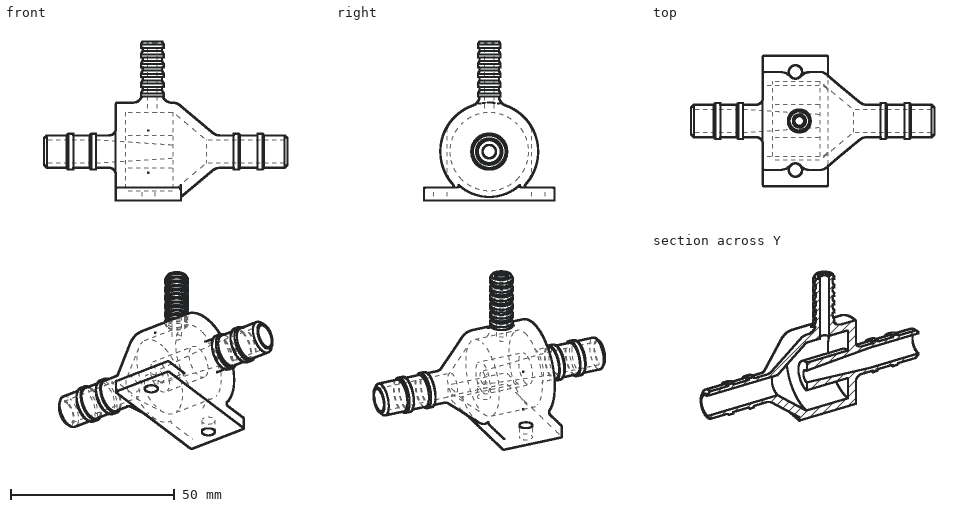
import cadquery as cq
import math

LENGTH = 74.6
AXIS_Z = 15.0
TOTAL_HEIGHT = 48.7

TUBE_R = 10.0 / 2
TUBE_BARB_R = 11.0 / 2
TUBE_BARB_LENGTH = 2.0
TUBE_BARB_RAMP = TUBE_BARB_R - TUBE_R
TUBE_TIP_CHAMFER = 1.0
INLET_BARBS = (7.0, 14.0)
OUTLET_BARBS = (7.2, 14.55)
TUBE_BORE_R = 7.0 / 2
INLET_FILLET = 2.0

BODY_R = 30.0 / 2
BODY_X = 22.0
CONE_START_X = 40.65
CONE_LENGTH = 11.9
CONE_END_X = CONE_START_X + CONE_LENGTH
CONE_FILLET = 3.0
EDGE_FILLET = 0.5

CHAMBER_R = 24.0 / 2
WALL = BODY_R - CHAMBER_R

NOZZLE_END_R = 4.0 / 2
NOZZLE_END_X = 39.45
TAPER_LENGTH = 22.4

BASE_LENGTH = 20.0
BASE_WIDTH = 40.0
BASE_HEIGHT = 4.0
HOLE_R = 4.0 / 2
HOLE_Y = 15.0
HOLE_X = BODY_X + BASE_LENGTH / 2
HOLE_EDGE_FILLET = 3.95

PORT_X = 33.2
PORT_NECK_R = 6.0 / 2
PORT_BARB_R = 7.0 / 2
PORT_BORE_R = 3.0 / 2
PORT_BORE_CHAMFER = 0.5
PORT_FILLET = 3.0
PORT_BARB_COUNT = 6
PORT_BARB_PITCH = 3.0
PORT_BARB_STEP = PORT_BARB_PITCH / 3

TOLERANCE = 0.01


def revolve_about_flow_axis(points):
    """Turn an (x, radius) outline, closed along the axis, around the flow axis."""
    plane = cq.Workplane("XZ", origin=(0, 0, AXIS_Z))
    return plane.polyline(points).close().revolve(360, (0, 0, 0), (1, 0, 0))


def edges_within(solid, x_range, y_range, z_range):
    """Edges lying wholly inside an axis-aligned box."""
    low = [limits[0] - TOLERANCE for limits in (x_range, y_range, z_range)]
    high = [limits[1] + TOLERANCE for limits in (x_range, y_range, z_range)]
    return solid.edges(cq.selectors.BoxSelector(low, high, True))


def fillet_turned_edge(solid, x, radius, fillet):
    """Round the circular edge of the given radius lying in the plane at x."""
    y_range = (-radius, radius)
    z_range = (AXIS_Z - radius, AXIS_Z + radius)
    return edges_within(solid, (x, x), y_range, z_range).fillet(fillet)


def turned_body():
    """Tubes, round body and cone as one turned solid."""
    tip_r = TUBE_R - TUBE_TIP_CHAMFER
    turned = revolve_about_flow_axis([
        (0, 0),
        (0, tip_r),
        (TUBE_TIP_CHAMFER, TUBE_R),
        (BODY_X, TUBE_R),
        (BODY_X, BODY_R),
        (CONE_START_X, BODY_R),
        (CONE_END_X, TUBE_R),
        (LENGTH - TUBE_TIP_CHAMFER, TUBE_R),
        (LENGTH, tip_r),
        (LENGTH, 0),
    ])
    turned = fillet_turned_edge(turned, BODY_X, TUBE_R, INLET_FILLET)
    turned = fillet_turned_edge(turned, CONE_START_X, BODY_R, CONE_FILLET)
    return fillet_turned_edge(turned, CONE_END_X, TUBE_R, CONE_FILLET)


def add_base(body):
    block = cq.Workplane("XY").box(BASE_LENGTH, BASE_WIDTH, BASE_HEIGHT, centered=(False, True, False))
    body = body.union(block.translate((BODY_X, 0, 0)))

    base_x_range = (BODY_X, BODY_X + BASE_LENGTH)
    top_z_range = (BASE_HEIGHT, BASE_HEIGHT)
    joint_x_range = (BODY_X, BODY_X + BASE_LENGTH - 2 * TOLERANCE)
    for y_range in ((0, BODY_R), (-BODY_R, 0)):
        body = edges_within(body, joint_x_range, y_range, top_z_range).fillet(EDGE_FILLET)

    side = BASE_WIDTH / 2
    rounded = body.edges("|Z")
    rounded = rounded.add(edges_within(body, base_x_range, (side, side), top_z_range))
    rounded = rounded.add(edges_within(body, base_x_range, (-side, -side), top_z_range))
    rim = edges_within(body, (BODY_X, BODY_X), (-side, side), (BASE_HEIGHT, AXIS_Z + BODY_R))

    fillet_circle_r = TUBE_R + INLET_FILLET
    fillet_circle_span = (AXIS_Z - fillet_circle_r, AXIS_Z + fillet_circle_r)
    fillet_circle = edges_within(
        body, (BODY_X, BODY_X), (-fillet_circle_r, fillet_circle_r), fillet_circle_span
    )
    rim = rim.filter(lambda edge: not any(edge.isSame(other) for other in fillet_circle.vals()))
    return rounded.add(rim).fillet(EDGE_FILLET)


def drill_mounting_holes(body):
    """Drill upwards through base and body flanks, then round the groove edges left on the flanks."""
    holes = cq.Workplane("XY").pushPoints([(HOLE_X, HOLE_Y), (HOLE_X, -HOLE_Y)]).circle(HOLE_R)
    body = body.cut(holes.extrude(AXIS_Z + BODY_R))
    x_range = (HOLE_X - HOLE_R, HOLE_X + HOLE_R)
    groove_z_range = (BASE_HEIGHT + EDGE_FILLET, AXIS_Z + BODY_R)
    grooves = edges_within(body, x_range, (HOLE_Y - HOLE_R, BODY_R), groove_z_range)
    grooves = grooves.add(edges_within(body, x_range, (-BODY_R, HOLE_R - HOLE_Y), groove_z_range))
    return grooves.fillet(HOLE_EDGE_FILLET)


def add_port_neck(body):
    neck = cq.Workplane("XY", origin=(PORT_X, 0, AXIS_Z + CHAMBER_R)).circle(PORT_NECK_R)
    body = body.union(neck.extrude(TOTAL_HEIGHT - AXIS_Z - CHAMBER_R))
    x_range = (PORT_X - PORT_NECK_R, PORT_X + PORT_NECK_R)
    joint_z_range = (AXIS_Z + CHAMBER_R, AXIS_Z + BODY_R)
    joint = edges_within(body, x_range, (-PORT_NECK_R, PORT_NECK_R), joint_z_range)
    return joint.fillet(PORT_FILLET)


def port_barb(top):
    """Barb ring widening downwards from top, with its ramp facing the port tip."""
    outline = cq.Workplane("XZ", origin=(PORT_X, 0, top)).polyline([
        (0, 0),
        (PORT_NECK_R, 0),
        (PORT_BARB_R, -PORT_BARB_STEP),
        (PORT_BARB_R, -2 * PORT_BARB_STEP),
        (0, -2 * PORT_BARB_STEP),
    ])
    return outline.close().revolve(360, (0, 0, 0), (0, 1, 0))


def tube_barb(tip_x, inward, distance):
    """Barb ring with its ramp facing the tube tip; inward is +1 or -1 along X."""
    ramp_start = tip_x + inward * distance
    ramp_end = ramp_start + inward * TUBE_BARB_RAMP
    back = ramp_start + inward * TUBE_BARB_LENGTH
    return revolve_about_flow_axis([
        (ramp_start, 0),
        (ramp_start, TUBE_R),
        (ramp_end, TUBE_BARB_R),
        (back, TUBE_BARB_R),
        (back, 0),
    ])


def add_barbs(body):
    for distance in INLET_BARBS:
        body = body.union(tube_barb(0, 1, distance))
    for distance in OUTLET_BARBS:
        body = body.union(tube_barb(LENGTH, -1, distance))
    for index in range(PORT_BARB_COUNT):
        body = body.union(port_barb(TOTAL_HEIGHT - index * PORT_BARB_PITCH))
    return body


def flow_cavity():
    """Passage from tip to tip: a tapering inlet nozzle that reaches into a chamber, then the outlet bore.

    The chamber ends in a cone parallel to the outer cone.
    """
    cone_slope = (BODY_R - TUBE_R) / CONE_LENGTH
    cone_angle = math.atan(cone_slope)
    chamber_end = CONE_START_X - WALL * math.tan(cone_angle / 2)
    cone_end = chamber_end + (CHAMBER_R - TUBE_BORE_R) / cone_slope
    return revolve_about_flow_axis([
        (0, 0),
        (0, TUBE_BORE_R),
        (NOZZLE_END_X - TAPER_LENGTH, TUBE_BORE_R),
        (NOZZLE_END_X, NOZZLE_END_R),
        (NOZZLE_END_X, TUBE_R),
        (BODY_X + WALL, TUBE_R),
        (BODY_X + WALL, CHAMBER_R),
        (chamber_end, CHAMBER_R),
        (cone_end, TUBE_BORE_R),
        (LENGTH, TUBE_BORE_R),
        (LENGTH, 0),
    ])


def port_bore():
    bottom = AXIS_Z + (TUBE_R + CHAMBER_R) / 2
    bore = cq.Workplane("XY", origin=(PORT_X, 0, bottom)).circle(PORT_BORE_R).extrude(TOTAL_HEIGHT - bottom)
    mouth_r = PORT_BORE_R + PORT_BORE_CHAMFER
    mouth = cq.Solid.makeCone(
        PORT_BORE_R,
        mouth_r,
        PORT_BORE_CHAMFER,
        cq.Vector(PORT_X, 0, TOTAL_HEIGHT - PORT_BORE_CHAMFER),
    )
    return bore.union(cq.Workplane(mouth))


body = turned_body()
body = add_base(body)
body = drill_mounting_holes(body)
body = add_port_neck(body)
body = add_barbs(body)
result = body.cut(flow_cavity()).cut(port_bore())